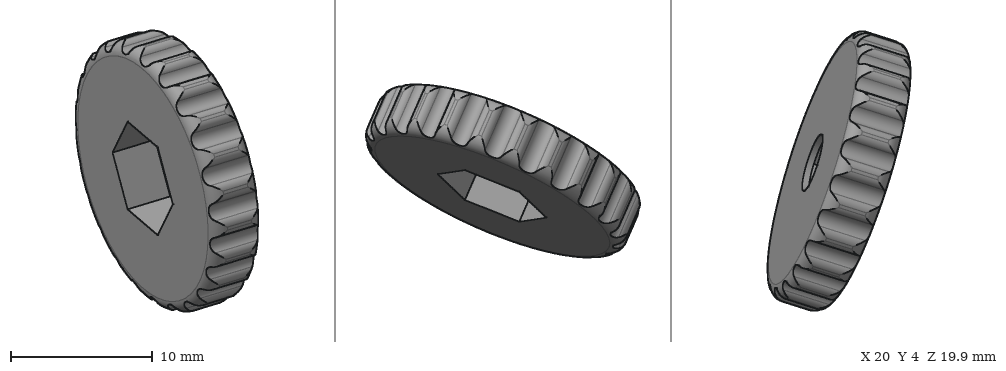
import cadquery as cq
import math

overall_width = 19.97
thickness = 4.0
rim_rounding = 1.0

tooth_count = 23
tooth_rounding = 0.6
tooth_land_angle = 1.4

hole_diameter = 4.2
hex_across_flats = 7.2
hex_depth = 3.5

pitch_angle = 360.0 / tooth_count
half_land_angle = tooth_land_angle / 2
half_gap_angle = pitch_angle / 2 - half_land_angle

rounding_tilt = math.radians(pitch_angle / 4 - half_land_angle)
outer_radius = tooth_rounding + (overall_width / 2 - tooth_rounding) / math.cos(rounding_tilt)


def polar(radius, angle):
    """Point at a radius and an angle in degrees, measured from +X towards +Z."""
    return cq.Vector(radius * math.cos(math.radians(angle)), radius * math.sin(math.radians(angle)))


def toward(start, target, distance):
    """Point at a distance from start, on the line to target."""
    return start + (target - start).normalized() * distance


def add_arc(outline, center, radius, end, middle_target):
    """Extend the outline to end with an arc that bulges from its centre towards middle_target."""
    middle = toward(center, middle_target, radius)
    return outline.threePointArc(middle.toTuple()[:2], end.toTuple()[:2])


def rim_outline():
    """Closed outline of all teeth and grooves, starting on a land edge."""
    first_groove = 90.0
    start = polar(outer_radius, first_groove - half_gap_angle)
    outline = cq.Workplane("XZ").moveTo(start.x, start.y)
    axis = cq.Vector(0, 0)
    for index in range(tooth_count):
        groove_angle = first_groove + index * pitch_angle
        groove_center = polar(outer_radius, groove_angle)
        land_start = polar(outer_radius, groove_angle - half_gap_angle)
        land_end = polar(outer_radius, groove_angle + half_gap_angle)
        near_center = polar(outer_radius - tooth_rounding, groove_angle - half_gap_angle)
        far_center = polar(outer_radius - tooth_rounding, groove_angle + half_gap_angle)
        groove_radius = (near_center - groove_center).Length - tooth_rounding
        near_tangent = toward(groove_center, near_center, groove_radius)
        far_tangent = toward(groove_center, far_center, groove_radius)
        next_land = polar(outer_radius, groove_angle + pitch_angle - half_gap_angle)
        tooth_tip = polar(outer_radius, groove_angle + pitch_angle / 2)

        outline = add_arc(outline, near_center, tooth_rounding, near_tangent, (land_start + near_tangent) / 2)
        outline = add_arc(outline, groove_center, groove_radius, far_tangent, axis)
        outline = add_arc(outline, far_center, tooth_rounding, land_end, (land_end + far_tangent) / 2)
        outline = add_arc(outline, axis, outer_radius, next_land, tooth_tip)
    return outline.close()


def rounded_disc():
    """Plain disc with both rim edges rounded."""
    disc = cq.Workplane("XZ").circle(outer_radius).extrude(thickness / 2, both=True)
    return disc.edges("%CIRCLE").fillet(rim_rounding)


toothed_blank = rim_outline().extrude(thickness / 2, both=True)
wheel = rounded_disc().intersect(toothed_blank)

wheel = wheel.cut(cq.Workplane("XZ").circle(hole_diameter / 2).extrude(thickness, both=True))

hex_across_corners = hex_across_flats / math.cos(math.radians(30))
hex_pocket = (
    cq.Workplane("XZ", origin=(0, -thickness / 2, 0))
    .polygon(6, hex_across_corners)
    .extrude(-hex_depth)
)
result = wheel.cut(hex_pocket)